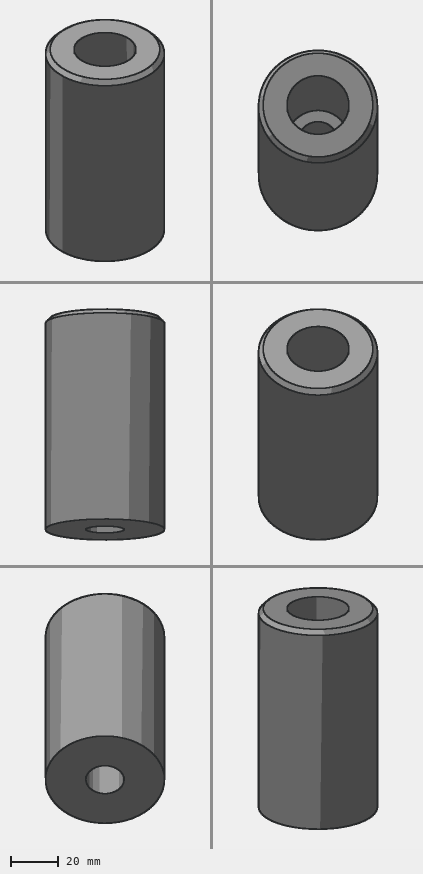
import cadquery as cq

height = 90.0
outer_diameter = 50.0
top_chamfer = 2.0
through_diameter = 16.0
counterbore_diameter = 26.0
counterbore_depth = height / 2

body = cq.Workplane("XY").circle(outer_diameter / 2).extrude(height)
body = body.faces(">Z").edges().chamfer(top_chamfer)

result = (
    body.faces(">Z")
    .workplane()
    .cboreHole(through_diameter, counterbore_diameter, counterbore_depth)
)